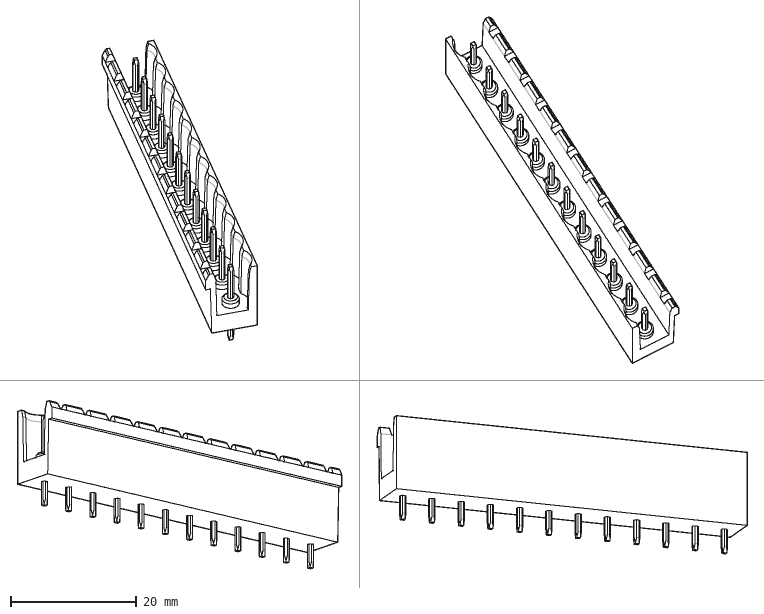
import cadquery as cq


pin_count = 12
length = 60.0
pitch = length / pin_count
pin_x = [(i - (pin_count - 1) / 2) * pitch for i in range(pin_count)]

housing_height = 12.1
floor_z = 3.4
lead_in_z = 10.9
lip_bottom_z = 9.05
lip_shoulder_z = 10.9

back_y = 3.7
back_foot_thickness = 1.5
back_lead_in_thickness = 1.3
back_top_thickness = 1.0

front_outer_foot_y = -3.85
front_outer_top_y = -4.1
front_inner_foot_y = -3.0
front_inner_lead_in_y = -3.2
front_top_inner_y = -3.6
front_top_outer_y = -4.15
lip_crest_y = -4.4
lip_crest_z = 11.9
lip_y = -4.85

scallop_center_y = 0.55
scallop_foot_radius = 2.5
scallop_lead_in_radius = 2.65
scallop_top_radius = 2.9

notch_floor_width = 1.25
notch_top_width = 1.75

collar_radius = 1.4
collar_height = 1.25
collar_top_radius = 1.1
collar_bevel_height = 0.35

pin_width = 0.95
pin_corner_chamfer = 0.3
pin_top_z = 11.05
pin_bottom_z = -3.9
tip_length = 0.95
tip_width = 0.6


def make_channel():
    """U-shaped housing profile with drafted walls, extruded over the full length."""
    outline = [
        (back_y, 0),
        (back_y, housing_height),
        (back_y - back_top_thickness, housing_height),
        (back_y - back_lead_in_thickness, lead_in_z),
        (back_y - back_foot_thickness, floor_z),
        (front_inner_foot_y, floor_z),
        (front_inner_lead_in_y, lead_in_z),
        (front_top_inner_y, housing_height),
        (front_top_outer_y, housing_height),
        (lip_crest_y, lip_crest_z),
        (lip_y, lip_shoulder_z),
        (lip_y, lip_bottom_z),
        (front_outer_top_y, lip_bottom_z),
        (front_outer_foot_y, 0),
    ]
    return cq.Workplane("YZ").polyline(outline).close().extrude(length / 2, both=True)


def make_scallop():
    """Drafted round cutter that widens into the lead-in bevel at the top."""
    half_section = [
        (0, floor_z),
        (scallop_foot_radius, floor_z),
        (scallop_lead_in_radius, lead_in_z),
        (scallop_top_radius, housing_height),
        (0, housing_height),
    ]
    cutter = cq.Workplane("XZ").polyline(half_section).close().revolve(360, (0, 0), (0, 1))
    return cutter.translate((0, scallop_center_y, 0))


def make_notch():
    """Flared cutter that passes through the front wall only."""
    section = [
        (-notch_floor_width / 2, lip_shoulder_z),
        (notch_floor_width / 2, lip_shoulder_z),
        (notch_top_width / 2, housing_height),
        (-notch_top_width / 2, housing_height),
    ]
    return cq.Workplane("XZ").polyline(section).close().extrude(-lip_y)


def make_collar():
    """Round collar with a beveled rim, standing on the channel floor."""
    top_z = floor_z + collar_height
    half_section = [
        (0, 0),
        (collar_radius, 0),
        (collar_radius, top_z - collar_bevel_height),
        (collar_top_radius, top_z),
        (0, top_z),
    ]
    return cq.Workplane("XZ").polyline(half_section).close().revolve(360, (0, 0), (0, 1))


def make_pin():
    """Square pin with chamfered corners and four-sided tapered tips."""
    tapered_side = [
        (-tip_width / 2, pin_bottom_z),
        (tip_width / 2, pin_bottom_z),
        (pin_width / 2, pin_bottom_z + tip_length),
        (pin_width / 2, pin_top_z - tip_length),
        (tip_width / 2, pin_top_z),
        (-tip_width / 2, pin_top_z),
        (-pin_width / 2, pin_top_z - tip_length),
        (-pin_width / 2, pin_bottom_z + tip_length),
    ]
    tapered_in_x = cq.Workplane("XZ").polyline(tapered_side).close().extrude(pin_width, both=True)
    tapered_in_y = cq.Workplane("YZ").polyline(tapered_side).close().extrude(pin_width, both=True)
    shaft = (
        cq.Workplane("XY", origin=(0, 0, pin_bottom_z))
        .rect(pin_width, pin_width)
        .extrude(pin_top_z - pin_bottom_z)
        .edges("|Z")
        .chamfer(pin_corner_chamfer)
    )
    return shaft.intersect(tapered_in_x).intersect(tapered_in_y)


contact_cutter = make_scallop().union(make_notch())
contact = make_collar().union(make_pin())

result = make_channel()
for x in pin_x:
    result = result.cut(contact_cutter.translate((x, 0, 0)))
for x in pin_x:
    result = result.union(contact.translate((x, 0, 0)))